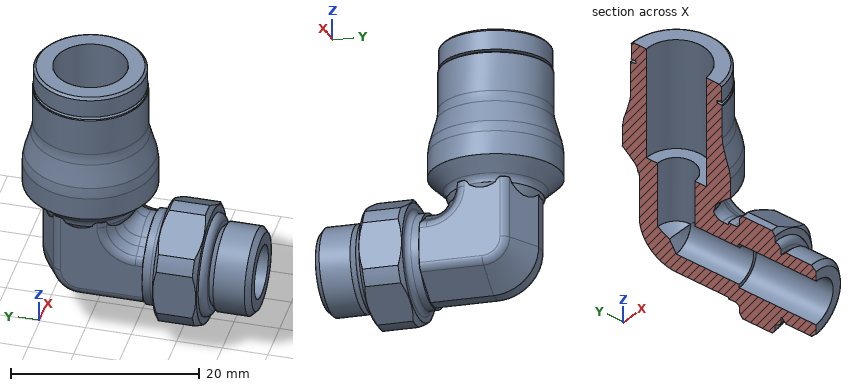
import cadquery as cq
import math


socket_top = 23.48
release_collar_radius = 6.07
release_collar_bottom = 21.07
collar_chamfer = 0.27
groove_radius = 5.45
sleeve_top = 20.75
sleeve_radius = 6.2
sleeve_chamfer = 0.1
sleeve_bottom = 16.3
belly_diameter = 14.55
belly_radius = belly_diameter / 2
belly_top = 11.28
belly_bottom = 8.65
flare_blend_height = 1.25
shoulder_radius = 5.6
shoulder_bottom = 7.13
neck_radius = 5.2
neck_top = 6.28
neck_root_radius = 4.75
neck_root = 5.3

body_half_width = 5.0
outer_reach = body_half_width
facet_angle = math.radians(60)
facet_across = 9.48
facet_distance = facet_across / 2
side_fillet = 1.05
facet_inner_end = 3.45
crest_edge = (2.55, 4.12)
crest_height = 4.95
bend_centre = 6.2
socket_arm_end = 6.83

stud_collar_start = 6.98
stud_collar_radius = 5.2
nut_start = 8.45
nut_fillet = 0.58
nut_end = 13.25
nut_across_flats = 13.0
nut_corner_radius = 7.0
nut_face_radius = 6.43
nut_chamfer_length = 0.43
seal_radius = 5.65
seal_end = 14.05
seal_rounding = seal_end - nut_end
thread_radius = 4.88
thread_root_radius = 4.25
overall_depth = 26.0
thread_end = overall_depth - belly_radius
thread_chamfer = 0.6

flow_diameter = 4.97
flow_radius = flow_diameter / 2
drill_point_half_angle = math.radians(60)
tube_bore_diameter = 8.02
tube_bore_radius = tube_bore_diameter / 2
tube_bore_bottom = belly_bottom
stud_bore_radius = 2.95
stud_bore_depth = thread_end - nut_start


def turn(profile):
    """Turn a closed profile drawn as (radius, height) around the Z axis."""
    return profile.close().revolve(360, (0, 0, 0), (0, 1, 0))


def lay_along_stud(solid):
    """Turn a solid built along +Z so that it points along -Y."""
    return solid.rotate((0, 0, 0), (1, 0, 0), 90)


def make_socket():
    flare_top = sleeve_bottom - flare_blend_height
    flare_bottom = belly_top + flare_blend_height
    flare_lean = math.atan(
        (belly_radius - sleeve_radius) / (flare_top - flare_bottom + flare_blend_height)
    )
    blend_step = flare_blend_height * math.tan(flare_lean / 2)
    profile = (
        cq.Workplane("XZ")
        .moveTo(0, socket_top)
        .lineTo(release_collar_radius - collar_chamfer, socket_top)
        .lineTo(release_collar_radius, socket_top - collar_chamfer)
        .lineTo(release_collar_radius, release_collar_bottom)
        .lineTo(groove_radius, release_collar_bottom)
        .lineTo(groove_radius, sleeve_top)
        .lineTo(sleeve_radius - sleeve_chamfer, sleeve_top)
        .lineTo(sleeve_radius, sleeve_top - sleeve_chamfer)
        .lineTo(sleeve_radius, sleeve_bottom)
        .tangentArcPoint((sleeve_radius + blend_step, flare_top), relative=False)
        .lineTo(belly_radius - blend_step, flare_bottom)
        .tangentArcPoint((belly_radius, belly_top), relative=False)
        .lineTo(belly_radius, belly_bottom)
        .lineTo(shoulder_radius, shoulder_bottom)
        .tangentArcPoint((neck_radius, neck_top), relative=False)
        .lineTo(neck_root_radius, neck_root)
        .lineTo(0, neck_root)
    )
    return turn(profile)


def facet_height(x):
    """Height above the arm axis of the sloping facet at a given X."""
    return (facet_distance - x * math.cos(facet_angle)) / math.sin(facet_angle)


def start_half_section(plane, side):
    """Draw from the arm axis out over the +X flat and rounding; side is +1 inside, -1 outside."""
    corner = facet_height(body_half_width)
    setback = side_fillet * math.tan(facet_angle / 2)
    rounding_end_x = body_half_width - setback * math.sin(facet_angle)
    return (
        plane.lineTo(body_half_width, 0)
        .lineTo(body_half_width, side * (corner - setback))
        .tangentArcPoint((rounding_end_x, side * facet_height(rounding_end_x)), relative=False)
    )


def inner_section(plane):
    """Half of an arm's section on the inside of the elbow: flat, facet and round crest."""
    crest_rise = crest_height - crest_edge[1]
    crest_radius = (crest_edge[0] ** 2 + crest_rise ** 2) / (2 * crest_rise)
    half_sweep = math.asin(crest_edge[0] / crest_radius) / 2
    crest_middle = (
        crest_radius * math.sin(half_sweep),
        crest_height - crest_radius * (1 - math.cos(half_sweep)),
    )
    return (
        start_half_section(plane, 1)
        .lineTo(facet_inner_end, facet_height(facet_inner_end))
        .tangentArcPoint(crest_edge, relative=False)
        .threePointArc(crest_middle, (0, crest_height))
        .mirrorY()
    )


def outer_section(plane):
    """Half of an arm's section on the outside of the elbow: flat, facet and narrow ridge."""
    ridge_x = (facet_distance - outer_reach * math.sin(facet_angle)) / math.cos(facet_angle)
    return (
        start_half_section(plane, -1)
        .lineTo(ridge_x, -outer_reach)
        .lineTo(0, -outer_reach)
        .mirrorY()
    )


def make_arm(length):
    """Arm along -Y whose inner half, facing +Z, starts where the inner bend ends."""
    inner_plane = cq.Workplane("XZ", origin=(0, -bend_centre, 0))
    inner = inner_section(inner_plane).extrude(length - bend_centre)
    outer = outer_section(cq.Workplane("XZ")).extrude(length)
    return outer.union(inner)


def make_body():
    stud_arm = make_arm(stud_collar_start)
    socket_arm = make_arm(socket_arm_end).mirror((0, 1, 1))

    heel = outer_section(cq.Workplane("XZ")).revolve(90, (0, 0, 0), (1, 0, 0))

    bend_plane = cq.Workplane("XZ", origin=(0, -bend_centre, 0))
    bend = inner_section(bend_plane).revolve(90, (0, bend_centre, 0), (1, bend_centre, 0))
    web = (
        cq.Workplane("YZ")
        .lineTo(0, bend_centre)
        .radiusArc((-bend_centre, 0), bend_centre)
        .close()
        .extrude(body_half_width, both=True)
    )
    return heel.union(web).union(bend).union(stud_arm).union(socket_arm)


def make_nut():
    """Hexagon nut along +Z with flats facing +X and -X and corners rounded and chamfered."""
    sides = 6
    hexagon = (
        cq.Workplane("XY", origin=(0, 0, nut_start))
        .polygon(sides, nut_across_flats, circumscribed=True)
        .extrude(nut_end - nut_start)
    )
    chamfered_blank = turn(
        cq.Workplane("XZ")
        .moveTo(0, nut_start)
        .lineTo(nut_face_radius, nut_start)
        .lineTo(nut_corner_radius, nut_start + nut_chamfer_length)
        .lineTo(nut_corner_radius, nut_end - nut_chamfer_length)
        .lineTo(nut_face_radius, nut_end)
        .lineTo(0, nut_end)
    )
    return hexagon.intersect(chamfered_blank)


def make_stud():
    turned = turn(
        cq.Workplane("XZ")
        .moveTo(0, stud_collar_start)
        .lineTo(stud_collar_radius, stud_collar_start)
        .lineTo(stud_collar_radius, nut_start - nut_fillet)
        .tangentArcPoint((stud_collar_radius + nut_fillet, nut_start), relative=False)
        .lineTo(seal_radius, nut_end)
        .tangentArcPoint((seal_radius - seal_rounding, seal_end), relative=False)
        .lineTo(thread_root_radius, seal_end)
        .lineTo(thread_radius, seal_end + thread_radius - thread_root_radius)
        .lineTo(thread_radius, thread_end - thread_chamfer)
        .lineTo(thread_radius - thread_chamfer, thread_end)
        .lineTo(0, thread_end)
    )
    return lay_along_stud(turned.union(make_nut()))


def make_bore(mouth, wide_radius, wide_depth):
    """Stepped bore along +Z that ends in a drill point just past the crossing of the axes."""
    point_length = flow_radius / math.tan(drill_point_half_angle)
    step = mouth - wide_depth
    return turn(
        cq.Workplane("XZ")
        .moveTo(0, -point_length)
        .lineTo(flow_radius, 0)
        .lineTo(flow_radius, step)
        .lineTo(wide_radius, step)
        .lineTo(wide_radius, mouth)
        .lineTo(0, mouth)
    )


socket_bore = make_bore(socket_top, tube_bore_radius, socket_top - tube_bore_bottom)
stud_bore = lay_along_stud(make_bore(thread_end, stud_bore_radius, stud_bore_depth))

result = make_body().union(make_socket()).union(make_stud()).cut(socket_bore).cut(stud_bore)